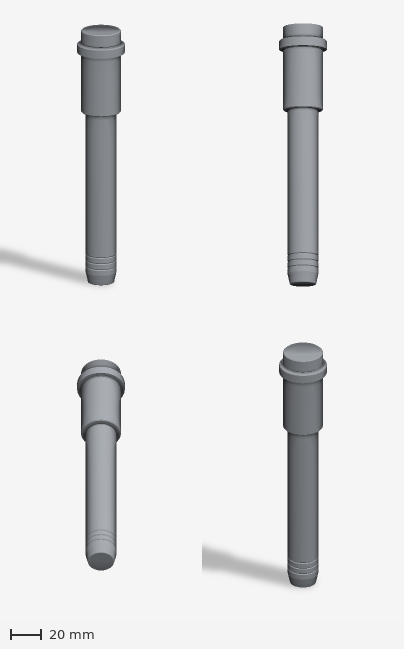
import cadquery as cq

length = 170.0
head_radius = 13.0
flange_radius = 15.5
pin_radius = 10.0
tip_radius = 8.5

sleeve_bottom = 115.0
flange_bottom = 155.0
flange_top = 161.0
nose_height = 7.0
lowest_ring_height = 10.7
ring_pitch = 4.0
ring_count = 3

relief_width = 1.0
relief_depth = 0.5
vee_width = 1.0
vee_depth = 0.5
edge_chamfer = 0.5
tip_fillet = 0.5


def cylinder(radius, bottom, top):
    """Vertical cylinder centred on the Z axis."""
    return cq.Workplane("XY").workplane(offset=bottom).circle(radius).extrude(top - bottom)


def square_groove(radius, depth, bottom, width):
    """Ring-shaped cutter for a flat-bottomed groove in a shaft of the given radius."""
    return cylinder(flange_radius, bottom, bottom + width).cut(
        cylinder(radius - depth, bottom, bottom + width)
    )


def vee_groove(shaft_radius, centre_height):
    """Ring-shaped cutter for a V-groove in a shaft of the given radius."""
    return (
        cq.Workplane("XZ")
        .moveTo(shaft_radius - vee_depth, centre_height)
        .lineTo(shaft_radius, centre_height + vee_width / 2)
        .lineTo(shaft_radius, centre_height - vee_width / 2)
        .close()
        .revolve(360, (0, 0, 0), (0, 1, 0))
    )


nose = (
    cq.Workplane("XZ")
    .moveTo(0, 0)
    .lineTo(tip_radius, 0)
    .lineTo(pin_radius, nose_height)
    .lineTo(0, nose_height)
    .close()
    .revolve(360, (0, 0, 0), (0, 1, 0))
    .faces("<Z")
    .edges()
    .fillet(tip_fillet)
)
pin = cylinder(pin_radius, nose_height, sleeve_bottom)

for index in range(ring_count):
    ring_centre = lowest_ring_height + index * ring_pitch
    pin = pin.cut(vee_groove(pin_radius, ring_centre))

pin = pin.cut(square_groove(pin_radius, relief_depth, sleeve_bottom - relief_width, relief_width))

sleeve = cylinder(head_radius, sleeve_bottom, length).faces("<Z or >Z").edges().chamfer(edge_chamfer)
for relief_centre in (flange_bottom - vee_width / 2, flange_top + vee_width / 2):
    sleeve = sleeve.cut(vee_groove(head_radius, relief_centre))

flange = cylinder(flange_radius, flange_bottom, flange_top).faces(">Z").edges().chamfer(edge_chamfer)

result = nose.union(pin).union(sleeve).union(flange)